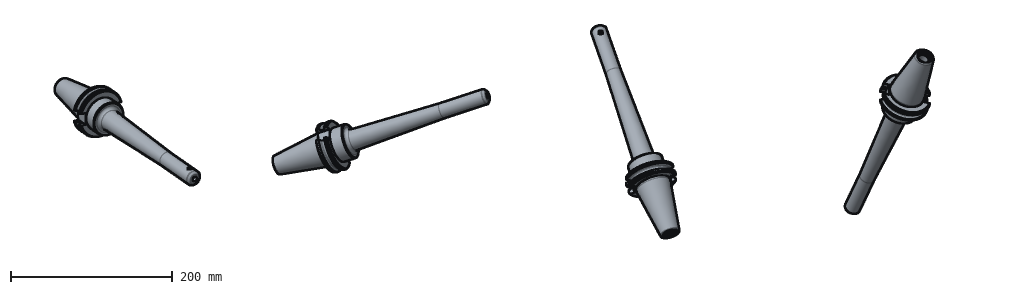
import cadquery as cq
import math


total_length = 296.8
taper_length = 68.0
taper_large_diameter = 44.5
taper_ratio = 7 / 24
taper_small_diameter = taper_large_diameter - taper_ratio * taper_length
taper_tip_fillet = 1.5

flange_start = 71.0
flange_end = 87.0
flange_diameter = 63.2
flange_corner_chamfer = 1.2
groove_center = 79.3
groove_floor_diameter = 56.0
groove_floor_width = 3.5
groove_floor_fillet = 1.0
groove_half_angle = 30.0

slot_width = 16.3
slot_floor_offset = 23.7

collar_end = 104.0
collar_diameter = taper_large_diameter
collar_chamfer = 1.0

arbor_root_diameter = 27.3
arbor_diameter = 20.0
arbor_root_fillet = 4.2
arbor_straight_start = 233.3
nose_diameter = 13.5
nose_chamfer_length = (arbor_diameter - nose_diameter) / 2
nose_edge_fillet = 1.0

mouth_diameter = 18.7
thread_relief_diameter = 16.3
thread_relief_depth = 4.2
thread_diameter = 13.5
thread_depth = 26.7
middle_bore_diameter = 10.0
middle_bore_depth = 53.5
coolant_bore_diameter = 6.2
drill_point_angle = 118.0

radial_hole_diameter = 5.3
radial_hole_position = 285.3


def turned_body():
    """Taper, cylindrical flange blank, collar and arbor as one revolved outline."""
    root_fillet_end = collar_end + arbor_root_fillet
    root_radius = arbor_root_diameter / 2
    fillet_center = (root_fillet_end, root_radius + arbor_root_fillet)
    diagonal = arbor_root_fillet * math.sqrt(0.5)
    fillet_middle = (fillet_center[0] - diagonal, fillet_center[1] - diagonal)
    outline = (
        cq.Workplane("XY")
        .moveTo(0, 0)
        .lineTo(0, taper_small_diameter / 2)
        .lineTo(taper_length, taper_large_diameter / 2)
        .lineTo(flange_start, taper_large_diameter / 2)
        .lineTo(flange_start, flange_diameter / 2)
        .lineTo(flange_end, flange_diameter / 2)
        .lineTo(flange_end, collar_diameter / 2)
        .lineTo(collar_end - collar_chamfer, collar_diameter / 2)
        .lineTo(collar_end, collar_diameter / 2 - collar_chamfer)
        .lineTo(collar_end, fillet_center[1])
        .threePointArc(fillet_middle, (root_fillet_end, root_radius))
        .lineTo(arbor_straight_start, arbor_diameter / 2)
        .lineTo(total_length - nose_chamfer_length, arbor_diameter / 2)
        .lineTo(total_length, nose_diameter / 2)
        .lineTo(total_length, 0)
        .close()
    )
    body = outline.revolve(360, (0, 0, 0), (1, 0, 0))
    body = body.faces("<X").edges().fillet(taper_tip_fillet)
    nose_edges = cq.selectors.BoxSelector(
        (radial_hole_position, -arbor_diameter, -arbor_diameter),
        (total_length + nose_chamfer_length, arbor_diameter, arbor_diameter),
    )
    body = body.edges("%CIRCLE").edges(nose_edges).fillet(nose_edge_fillet)
    flange_rims = cq.selectors.RadiusNthSelector(-1)
    return body.edges("%CIRCLE").edges(flange_rims).chamfer(flange_corner_chamfer)


def flange_groove():
    """Ring of trapezoid section that cuts the V-groove into the flange rim."""
    rim_radius = flange_diameter / 2
    floor_radius = groove_floor_diameter / 2
    half_floor = groove_floor_width / 2
    half_mouth = half_floor + (rim_radius - floor_radius) * math.tan(math.radians(groove_half_angle))
    section = cq.Workplane("XY").polyline([
        (groove_center - half_mouth, rim_radius),
        (groove_center - half_floor, floor_radius),
        (groove_center + half_floor, floor_radius),
        (groove_center + half_mouth, rim_radius),
    ]).close()
    ring = section.revolve(360, (0, 0, 0), (1, 0, 0))
    floor_corners = cq.selectors.RadiusNthSelector(0)
    return ring.edges("%CIRCLE").edges(floor_corners).fillet(groove_floor_fillet)


def drive_slot(side):
    """Square-bottomed slot across the flange on the +Y (side = 1) or -Y (side = -1) side."""
    depth = flange_diameter / 2 - slot_floor_offset
    return (
        cq.Workplane("XY")
        .box(flange_end - flange_start, depth, slot_width)
        .translate(((flange_start + flange_end) / 2, side * (slot_floor_offset + depth / 2), 0))
    )


def stepped_bore():
    """Bore along the whole axis, narrowing from a countersunk mouth by one flat and two conical steps."""
    mouth_depth = (mouth_diameter - thread_relief_diameter) / 2
    cone_slope = 2 * math.tan(math.radians(drill_point_angle / 2))
    thread_cone_end = thread_depth + (thread_diameter - middle_bore_diameter) / cone_slope
    middle_cone_end = middle_bore_depth + (middle_bore_diameter - coolant_bore_diameter) / cone_slope
    outline = (
        cq.Workplane("XY")
        .moveTo(0, 0)
        .lineTo(0, mouth_diameter / 2)
        .lineTo(mouth_depth, thread_relief_diameter / 2)
        .lineTo(thread_relief_depth, thread_relief_diameter / 2)
        .lineTo(thread_relief_depth, thread_diameter / 2)
        .lineTo(thread_depth, thread_diameter / 2)
        .lineTo(thread_cone_end, middle_bore_diameter / 2)
        .lineTo(middle_bore_depth, middle_bore_diameter / 2)
        .lineTo(middle_cone_end, coolant_bore_diameter / 2)
        .lineTo(total_length, coolant_bore_diameter / 2)
        .lineTo(total_length, 0)
        .close()
    )
    return outline.revolve(360, (0, 0, 0), (1, 0, 0))


def radial_hole():
    """Hole from the top of the arbor down to the axial bore."""
    return (
        cq.Workplane("XY")
        .center(radial_hole_position, 0)
        .circle(radial_hole_diameter / 2)
        .extrude(arbor_diameter)
    )


slot_sides = (-1, 1)

result = turned_body().cut(flange_groove())
for slot_side in slot_sides:
    result = result.cut(drive_slot(slot_side))
result = result.cut(stepped_bore())
result = result.cut(radial_hole())